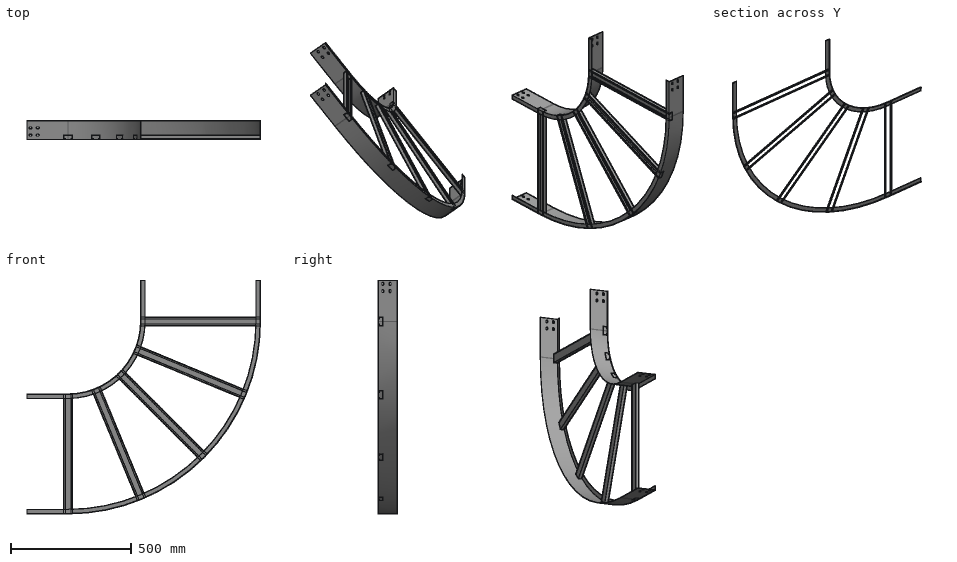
import cadquery as cq
import math


overall_size = 973.0
bend_angle = 90.0
rail_height = 80.0
straight_length = 171.0
ladder_width = 500.0
flange_width = 19.0
sheet = 2.0
outer_radius = overall_size - straight_length
inner_radius = outer_radius - ladder_width

rung_count = 5
rung_width = 38.0
rung_depth = 17.0
rung_sheet = 2.0
rung_setback = 4.0
lip_width = 8.0

slots_each_way = 2
slot_length = 12.0
slot_height = 7.0
slot_pitch = 30.0
slot_end_distance = 15.0
slot_front_distance = 19.0


def quarter_strip(small_radius, large_radius, depth):
    """Strip between two radii: a straight leg, the bend and a straight leg, raised from Y = 0."""
    half_bend = math.radians(bend_angle / 2)
    small_mid = small_radius * math.cos(half_bend)
    large_mid = large_radius * math.cos(half_bend)
    return (
        cq.Workplane("XZ")
        .moveTo(-straight_length, -large_radius)
        .lineTo(0, -large_radius)
        .threePointArc((large_mid, -large_mid), (large_radius, 0))
        .lineTo(large_radius, straight_length)
        .lineTo(small_radius, straight_length)
        .lineTo(small_radius, 0)
        .threePointArc((small_mid, -small_mid), (0, -small_radius))
        .lineTo(-straight_length, -small_radius)
        .close()
        .extrude(-depth)
    )


def inner_rail():
    web = quarter_strip(inner_radius, inner_radius + sheet, rail_height)
    flange = quarter_strip(inner_radius, inner_radius + flange_width, sheet)
    return web.union(flange)


def outer_rail():
    web = quarter_strip(outer_radius - sheet, outer_radius, rail_height)
    flange = quarter_strip(outer_radius - flange_width, outer_radius, sheet)
    return web.union(flange)


def rung(angle):
    """Lipped channel behind the flanges, running between the webs at an angle below +X."""
    start = inner_radius + sheet / 2
    length = outer_radius - sheet / 2 - start
    channel = cq.Workplane("XY").box(length, rung_depth, rung_width, centered=(False, False, True))
    hollow = (
        cq.Workplane("XY")
        .box(length, rung_depth - 2 * rung_sheet, rung_width - 2 * rung_sheet, centered=(False, False, True))
        .translate((0, rung_sheet, 0))
    )
    mouth = cq.Workplane("XY").box(
        length, rung_depth - rung_sheet, rung_width - 2 * lip_width, centered=(False, False, True)
    )
    return (
        channel.cut(hollow)
        .cut(mouth)
        .translate((start, rung_setback, 0))
        .rotate((0, 0, 0), (0, 1, 0), angle)
    )


def slot_centres():
    """Slot centres on one rail end: distance from the bend centre along the leg, and Y."""
    first_along = straight_length - slot_end_distance
    return [
        (first_along - i * slot_pitch, slot_front_distance + j * slot_pitch)
        for i in range(slots_each_way)
        for j in range(slots_each_way)
    ]


def leg_slots():
    """Cutters through both rails at the two ends of the ladder."""
    bottom_slots = (
        cq.Workplane("XY")
        .pushPoints([(-along, across) for along, across in slot_centres()])
        .slot2D(slot_length, slot_height)
        .extrude(-overall_size)
    )
    right_slots = (
        cq.Workplane("YZ")
        .pushPoints([(across, along) for along, across in slot_centres()])
        .slot2D(slot_length, slot_height, angle=90)
        .extrude(overall_size)
    )
    return bottom_slots.union(right_slots)


result = inner_rail().union(outer_rail())
for index in range(rung_count):
    result = result.union(rung(index * bend_angle / (rung_count - 1)))
result = result.cut(leg_slots())